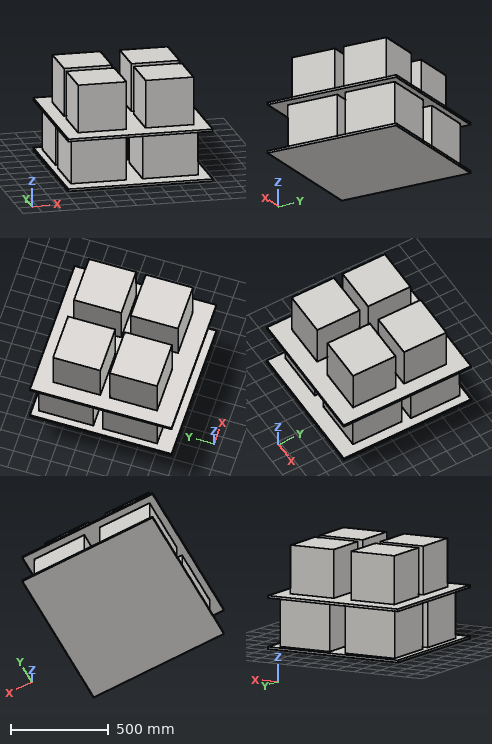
import cadquery as cq

SHELF_SIDE = 762.0
SHELF_THICKNESS = 12.7
SHELF_LEFT = -SHELF_SIDE / 2
SHELF_REAR = SHELF_SIDE / 2

BLOCK_HEIGHT = 254.0
LEVEL_HEIGHT = SHELF_THICKNESS + BLOCK_HEIGHT

LOWER_SIDE = 292.1
LOWER_MARGIN_Y = 38.1
LOWER_GAP_Y = 50.8
REAR_ROW_MARGIN_X = 38.1
REAR_ROW_GAP_X = 88.9
FRONT_ROW_MARGIN_X = 35.8
FRONT_ROW_GAP_X = 85.7

UPPER_SIDE = BLOCK_HEIGHT
UPPER_MARGIN_X = 76.2
UPPER_MARGIN_Y = 101.6
UPPER_GAP_X = SHELF_SIDE - 2 * (UPPER_MARGIN_X + UPPER_SIDE)
UPPER_GAP_Y = SHELF_SIDE - 2 * (UPPER_MARGIN_Y + UPPER_SIDE)


def make_shelf(bottom_z):
    """Square plate centred on the Z axis."""
    plate = cq.Workplane("XY").box(SHELF_SIDE, SHELF_SIDE, SHELF_THICKNESS, centered=(True, True, False))
    return plate.translate((0, 0, bottom_z))


def make_row(side, margin_x, gap_x, margin_y, bottom_z):
    """Two square blocks side by side along X, placed by their margins from the shelf edges."""
    first_x = SHELF_LEFT + margin_x + side / 2
    second_x = first_x + side + gap_x
    center_y = SHELF_REAR - margin_y - side / 2
    return (
        cq.Workplane("XY")
        .workplane(offset=bottom_z)
        .pushPoints([(first_x, center_y), (second_x, center_y)])
        .rect(side, side)
        .extrude(BLOCK_HEIGHT)
    )


def make_lower_level():
    """Bottom shelf with its two staggered rows of wide blocks."""
    front_margin_y = LOWER_MARGIN_Y + LOWER_SIDE + LOWER_GAP_Y
    rear_row = make_row(LOWER_SIDE, REAR_ROW_MARGIN_X, REAR_ROW_GAP_X, LOWER_MARGIN_Y, SHELF_THICKNESS)
    front_row = make_row(LOWER_SIDE, FRONT_ROW_MARGIN_X, FRONT_ROW_GAP_X, front_margin_y, SHELF_THICKNESS)
    return make_shelf(0).union(rear_row).union(front_row)


def make_upper_level():
    """Top shelf, resting on the lower blocks, with its two aligned rows of cubes."""
    level = make_shelf(LEVEL_HEIGHT)
    cube_bottom = LEVEL_HEIGHT + SHELF_THICKNESS
    front_margin_y = UPPER_MARGIN_Y + UPPER_SIDE + UPPER_GAP_Y
    for margin_y in (UPPER_MARGIN_Y, front_margin_y):
        level = level.union(make_row(UPPER_SIDE, UPPER_MARGIN_X, UPPER_GAP_X, margin_y, cube_bottom))
    return level


result = make_lower_level().union(make_upper_level())